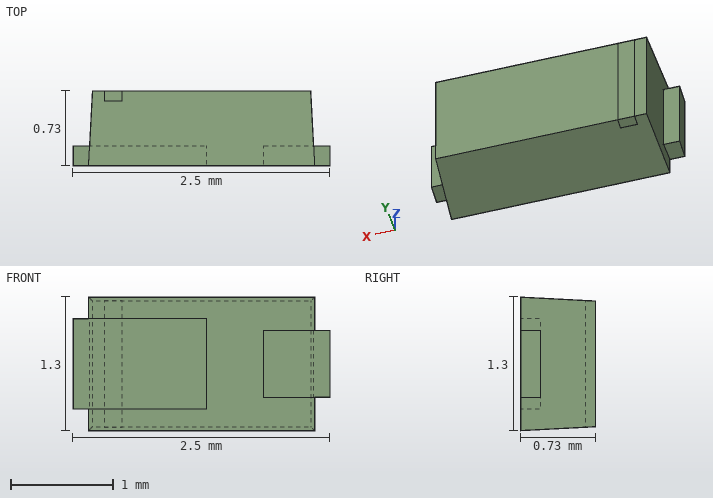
import cadquery as cq
import math

body_length = 2.2
body_height = 1.3
body_depth = 0.73
draft_angle = 3.0

overall_length = 2.5
terminal_thickness = 0.195
large_terminal_length = 1.3
large_terminal_height = 0.88
small_terminal_length = 0.65
small_terminal_height = 0.65

band_width = 0.17
band_thickness = 0.1
band_inset = 0.12

taper = body_depth * math.tan(math.radians(draft_angle))
back_face_left = -body_length / 2 + taper


def make_tapered_block():
    """Body envelope before the terminals and the band are let into it."""
    return (
        cq.Workplane("XZ")
        .rect(body_length, body_height)
        .extrude(-body_depth, taper=draft_angle)
    )


def make_terminal(left, length, height):
    """Plate starting at X = left, centred on Z = 0, with its front face at Y = 0."""
    return cq.Workplane("XY").box(
        length, terminal_thickness, height, centered=(False, False, True)
    ).translate((left, 0, 0))


def make_band(block):
    """Strip of the block under its +Y face, so its ends follow the tapered sides."""
    strip = cq.Workplane("XY").box(
        band_width, band_thickness, body_height, centered=(False, False, True)
    ).translate((back_face_left + band_inset, body_depth - band_thickness, 0))
    return block.intersect(strip).solids()


block = make_tapered_block()
large_terminal = make_terminal(-overall_length / 2, large_terminal_length, large_terminal_height)
small_terminal = make_terminal(
    overall_length / 2 - small_terminal_length, small_terminal_length, small_terminal_height
)
polarity_band = make_band(block)
body = block.cut(large_terminal).cut(small_terminal).cut(polarity_band).solids()

result = cq.Compound.makeCompound(
    [body.val(), large_terminal.val(), small_terminal.val(), polarity_band.val()]
)